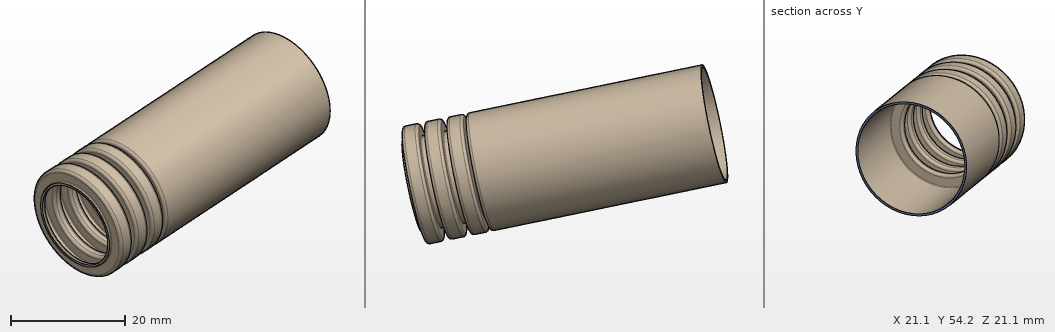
import cadquery as cq

length = 54.2
outer_radius = 21.1 / 2
neck_radius = 16.5 / 2
wall = 0.45
tight_bend = 0.1
wide_bend = tight_bend + wall

lip_length = 0.5
fin_width = 3.0
fin_pitch = 4.0
fin_count = 3
last_gap = 0.5

front = -length / 2
back = length / 2
fin_starts = [front + lip_length + i * fin_pitch for i in range(fin_count)]
sleeve_start = fin_starts[-1] + fin_width + last_gap


def cylinder(radius, start, end):
    """Solid cylinder along Y between two stations."""
    plane = cq.Workplane("XZ", origin=(0, start, 0))
    return plane.circle(radius).extrude(start - end)


def finned_body(large_radius, small_radius, inset, crest_bend, root_bend):
    """Solid core with fins and sleeve, every fin and sleeve wall moved in by inset."""
    body = cylinder(small_radius, front, back)
    for start in fin_starts:
        body = body.union(cylinder(large_radius, start + inset, start + fin_width - inset))
    body = body.union(cylinder(large_radius, sleeve_start + inset, back))

    middle_radius = (large_radius + small_radius) / 2

    def is_bend(edge):
        at_rim = min(edge.Center().y - front, back - edge.Center().y) < tight_bend
        return edge.geomType() == "CIRCLE" and not at_rim

    def is_crest(edge):
        return is_bend(edge) and edge.radius() > middle_radius

    def is_root(edge):
        return is_bend(edge) and edge.radius() < middle_radius

    body = body.edges().filter(is_crest).fillet(crest_bend)
    return body.edges().filter(is_root).fillet(root_bend)


outside = finned_body(outer_radius, neck_radius, 0, wide_bend, tight_bend)
inside = finned_body(outer_radius - wall, neck_radius - wall, wall, tight_bend, wide_bend)
result = outside.cut(inside)